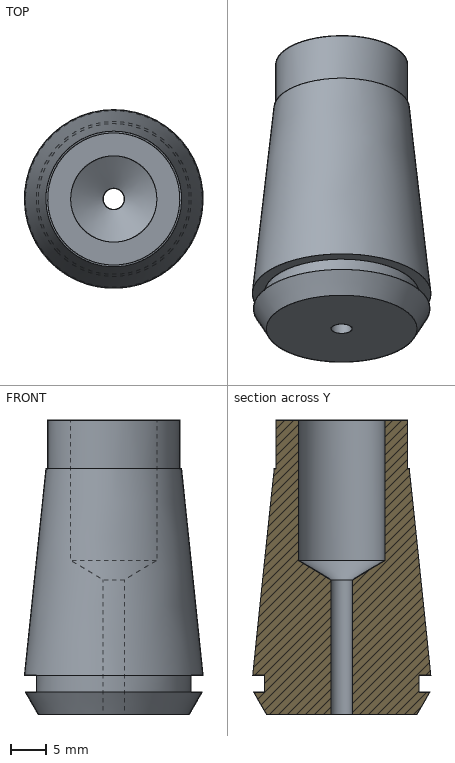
import math

import cadquery as cq

overall_height = 42.0
flange_height = 3.2
taper_bottom = 5.6
taper_top = 35.1

flange_top_diameter = 25.2
groove_diameter = 22.1
taper_bottom_diameter = 25.5
taper_top_diameter = 19.35
neck_diameter = 18.85

flange_angle = 30.0
flange_bottom_radius = flange_top_diameter / 2 - flange_height * math.tan(math.radians(flange_angle))

upper_bore_diameter = 12.3
through_hole_diameter = 3.0
upper_bore_depth = 20.0
drill_point_angle = 118.0
seat_width = (upper_bore_diameter - through_hole_diameter) / 2
seat_depth = seat_width / math.tan(math.radians(drill_point_angle / 2))


def revolve_profile(points):
    """Turn a closed (radius, height) outline one full revolution about the Z axis."""
    return cq.Workplane("YZ").polyline(points).close().revolve(360, (0, 0), (0, 1))


def outer_body():
    """Make the flange, groove, taper and neck as one turned solid."""
    return revolve_profile([
        (0, 0),
        (flange_bottom_radius, 0),
        (flange_top_diameter / 2, flange_height),
        (groove_diameter / 2, flange_height),
        (groove_diameter / 2, taper_bottom),
        (taper_bottom_diameter / 2, taper_bottom),
        (taper_top_diameter / 2, taper_top),
        (neck_diameter / 2, taper_top),
        (neck_diameter / 2, overall_height),
        (0, overall_height),
    ])


def stepped_bore():
    """Make the cutter for the upper bore, its conical seat and the through hole."""
    seat_top = overall_height - upper_bore_depth
    return revolve_profile([
        (0, 0),
        (through_hole_diameter / 2, 0),
        (through_hole_diameter / 2, seat_top - seat_depth),
        (upper_bore_diameter / 2, seat_top),
        (upper_bore_diameter / 2, overall_height),
        (0, overall_height),
    ])


result = outer_body().cut(stepped_bore())